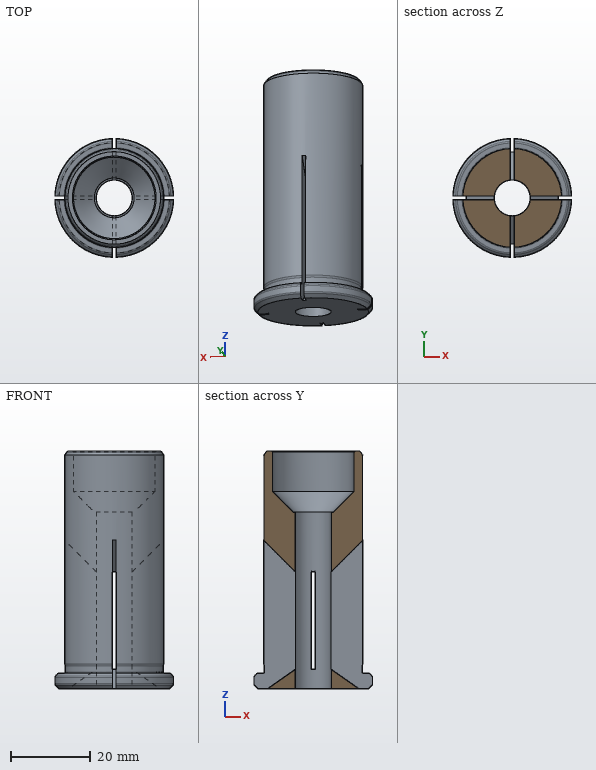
import cadquery as cq
import math

height = 60.0
flange_radius = 15.0
tube_radius = 25.0 / 2

flange_height = 4.0
flange_bottom_chamfer = 1.1
flange_top_chamfer = 0.9
flange_rounding = 0.6
groove_radius = 12.35
groove_top = 6.3
groove_bevel_height = 0.55
groove_fillet = 0.3

mouth_chamfer = 0.4
mouth_chamfer_height = 1.1
mouth_edge_chamfer = 0.4
bore_edge_chamfer = 0.3

counterbore_radius = 20.5 / 2
counterbore_depth = 10.2
ledge_radius = 10.0 / 2
hole_radius = 9.0 / 2
funnel_top = height - counterbore_depth
funnel_bottom = funnel_top - (counterbore_radius - ledge_radius)

slot_width = 0.9
slot_top = 37.5
slot_top_angle = 45
slot_bottom = 5.0
slot_bottom_angle = 35
slot_count = 4


def make_body():
    """Revolve the outer outline into a solid flanged post."""
    tangent = flange_rounding * math.tan(math.radians(45 / 2))
    step = tangent * math.cos(math.radians(45))
    top_corner = flange_height - flange_top_chamfer
    top_edge = flange_radius - flange_top_chamfer
    outline = (
        cq.Workplane("XZ")
        .lineTo(flange_radius - flange_bottom_chamfer, 0)
        .lineTo(flange_radius - step, flange_bottom_chamfer - step)
        .radiusArc((flange_radius, flange_bottom_chamfer + tangent), -flange_rounding)
        .lineTo(flange_radius, top_corner - tangent)
        .radiusArc((flange_radius - step, top_corner + step), -flange_rounding)
        .lineTo(top_edge + step, flange_height - step)
        .radiusArc((top_edge - tangent, flange_height), -flange_rounding)
        .lineTo(groove_radius + groove_fillet, flange_height)
        .radiusArc((groove_radius, flange_height + groove_fillet), groove_fillet)
        .lineTo(groove_radius, groove_top - groove_bevel_height)
        .lineTo(tube_radius, groove_top)
        .lineTo(tube_radius, height - mouth_chamfer_height)
        .lineTo(tube_radius - mouth_chamfer, height - mouth_edge_chamfer)
        .lineTo(tube_radius - mouth_chamfer - mouth_edge_chamfer, height)
        .lineTo(0, height)
        .close()
    )
    return outline.revolve(360, (0, 0, 0), (0, 1, 0))


def make_bore():
    """Revolve the stepped bore that runs through the whole part."""
    outline = (
        cq.Workplane("XZ")
        .lineTo(hole_radius, 0)
        .lineTo(hole_radius, funnel_bottom)
        .lineTo(ledge_radius, funnel_bottom)
        .lineTo(counterbore_radius, funnel_top)
        .lineTo(counterbore_radius, height - bore_edge_chamfer)
        .lineTo(counterbore_radius + bore_edge_chamfer, height)
        .lineTo(0, height)
        .close()
    )
    return outline.revolve(360, (0, 0, 0), (0, 1, 0))


def make_slot():
    """One slot toward +X; it narrows toward the axis."""
    top_slope = math.tan(math.radians(slot_top_angle))
    bottom_slope = math.tan(math.radians(slot_bottom_angle))
    floor_reach = hole_radius + slot_bottom / bottom_slope
    return (
        cq.Workplane("XZ")
        .moveTo(0, floor_reach * bottom_slope)
        .lineTo(floor_reach, 0)
        .lineTo(flange_radius, 0)
        .lineTo(flange_radius, slot_top)
        .lineTo(tube_radius, slot_top)
        .lineTo(0, slot_top - tube_radius * top_slope)
        .close()
        .extrude(slot_width / 2, both=True)
    )


result = make_body().cut(make_bore())
for index in range(slot_count):
    slot = make_slot().rotate((0, 0, 0), (0, 0, 1), index * 360 / slot_count)
    result = result.cut(slot)